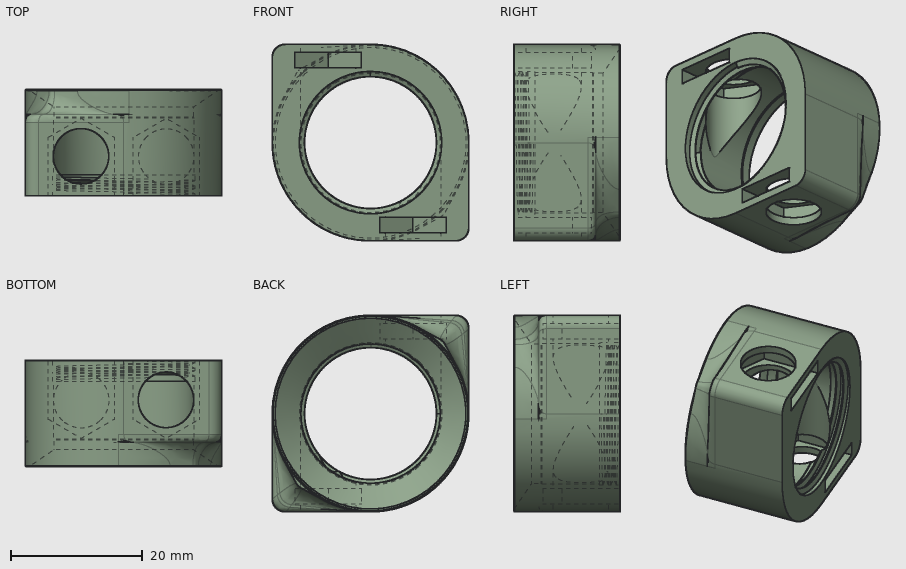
import cadquery as cq
import math

depth = 16.17
body_radius = 14.95
corner_radius = 2.0
rear_rim_length = 0.18
rear_chamfer = 0.15

ear_reach = math.sqrt(2) * (body_radius - corner_radius)
shoulder_radius = 1.2
scoop_radius = 3.6
bend_end = 84
bend_steps = 4
diagonal = math.radians(135)
half_sector = math.radians(48)
rear_end = depth - rear_rim_length

bore_radius = 10.7
step_radius = 10.58
step_start = 11.9
step_slope_length = 0.15
flare_start = 13.5
flare_radius = 14.5
mouth_radius = 10.82
mouth_length = 3.17

thread_pitch = 1.2
thread_turns = 1.75
thread_start = 0.45
crest_radius = 10.0
crest_width = 0.12
thread_base_width = 0.85
thread_overlap = 0.15

hole_x = -6.45
hole_y = 6.0
hole_radius = 4.2
nut_width = 10.05
nut_floor = 11.35
nut_height = 2.35


def front_plane(y):
    """Plane parallel to the front face at depth y, with local x = X and local y = Z."""
    return cq.Plane(origin=(0, y, 0), xDir=(1, 0, 0), normal=(0, -1, 0))


def disc(radius, y_start, y_end):
    return cq.Workplane(front_plane(y_end)).circle(radius).extrude(y_end - y_start)


def on_body(angle):
    return body_radius * math.cos(angle), body_radius * math.sin(angle)


def ear_section(reach, y):
    """Sector of the body circle joined by two tangent lines to the ear's corner circle."""
    spread = math.acos((body_radius - corner_radius) / reach)

    def on_corner(angle):
        x = reach * math.cos(diagonal) + corner_radius * math.cos(angle)
        z = reach * math.sin(diagonal) + corner_radius * math.sin(angle)
        return x, z

    return (
        cq.Workplane(front_plane(y))
        .lineTo(*on_body(diagonal - half_sector))
        .threePointArc(on_body(diagonal - (half_sector + spread) / 2), on_body(diagonal - spread))
        .lineTo(*on_corner(diagonal - spread))
        .threePointArc(on_corner(diagonal), on_corner(diagonal + spread))
        .lineTo(*on_body(diagonal + spread))
        .threePointArc(on_body(diagonal + (half_sector + spread) / 2), on_body(diagonal + half_sector))
        .close()
    )


def loft_ear(sections):
    wires = [ear_section(reach, y).val() for reach, y in sections]
    return cq.Workplane(cq.Solid.makeLoft(wires))


def make_ear():
    """Sector of the body that carries the ear at the corner towards -X and +Z."""
    shoulder_start = rear_end - scoop_radius - shoulder_radius
    rear_reach = ear_reach - shoulder_radius - scoop_radius
    angles = [math.radians(bend_end * i / bend_steps) for i in range(bend_steps + 1)]
    shoulder = [
        (ear_reach - shoulder_radius * (1 - math.cos(a)), shoulder_start + shoulder_radius * math.sin(a))
        for a in angles
    ]
    scoop = [
        (rear_reach + scoop_radius * (1 - math.cos(a)), rear_end - scoop_radius * math.sin(a))
        for a in reversed(angles)
    ]
    straight = ear_section(ear_reach, shoulder_start).extrude(shoulder_start)
    bends = loft_ear(shoulder).union(loft_ear([shoulder[-1], scoop[0]])).union(loft_ear(scoop))
    return straight.union(bends)


def make_plain_sector():
    """Round sector of the body between the two ears, towards +X and +Z."""
    middle = math.pi - diagonal
    half_plain = math.pi / 2 - half_sector
    return (
        cq.Workplane(front_plane(rear_end))
        .lineTo(*on_body(middle - half_plain))
        .threePointArc(on_body(middle), on_body(middle + half_plain))
        .close()
        .extrude(rear_end)
    )


def opposite(shape):
    """The same shape half a turn round the bore axis."""
    return shape.rotate((0, 0, 0), (0, 1, 0), 180)


def make_mouth():
    """Hollow of the threaded mouth: a disc less the helical thread ridge."""
    ridge_foot = mouth_radius + thread_overlap
    flank_slope = (thread_base_width - crest_width) / (mouth_radius - crest_radius)
    foot_width = thread_base_width + thread_overlap * flank_slope
    path = cq.Wire.makeHelix(thread_pitch, thread_pitch * thread_turns, mouth_radius)
    ridge = (
        cq.Workplane("XZ")
        .moveTo(crest_radius, -crest_width / 2)
        .lineTo(crest_radius, crest_width / 2)
        .lineTo(ridge_foot, foot_width / 2)
        .lineTo(ridge_foot, -foot_width / 2)
        .close()
        .sweep(cq.Workplane(path), isFrenet=True)
    )
    ridge = ridge.rotate((0, 0, 0), (0, 0, 1), -90).rotate((0, 0, 0), (1, 0, 0), -90)
    ridge = ridge.translate((0, thread_start, 0))
    return disc(mouth_radius, 0, mouth_length).cut(ridge)


def make_bore():
    """Hollow behind the thread, turned about the Y axis."""
    return (
        cq.Workplane("XY")
        .moveTo(0, mouth_length)
        .lineTo(bore_radius, mouth_length)
        .lineTo(bore_radius, step_start)
        .lineTo(step_radius, step_start + step_slope_length)
        .lineTo(step_radius, flare_start)
        .lineTo(flare_radius, depth)
        .lineTo(0, depth)
        .close()
        .revolve(360, (0, 0, 0), (0, 1, 0))
    )


def make_nut_pocket():
    """Hexagon with two sides along Y, left open through to the front face."""
    corner_distance = nut_width / math.sqrt(3)
    half_width = nut_width / 2
    return (
        cq.Workplane("XY", origin=(hole_x, 0, nut_floor))
        .moveTo(-half_width, 0)
        .lineTo(half_width, 0)
        .lineTo(half_width, hole_y + corner_distance / 2)
        .lineTo(0, hole_y + corner_distance)
        .lineTo(-half_width, hole_y + corner_distance / 2)
        .close()
        .extrude(nut_height)
    )


def make_cross_hole():
    return cq.Workplane("XY", origin=(hole_x, hole_y, 0)).circle(hole_radius).extrude(body_radius)


rim = disc(body_radius, rear_end, depth).faces(">Y").chamfer(rear_chamfer)
sectors = make_ear().union(make_plain_sector())
body = sectors.union(opposite(sectors)).union(rim)
body = body.cut(make_mouth()).cut(make_bore())

ear_cuts = make_cross_hole().union(make_nut_pocket())
result = body.cut(ear_cuts).cut(opposite(ear_cuts))